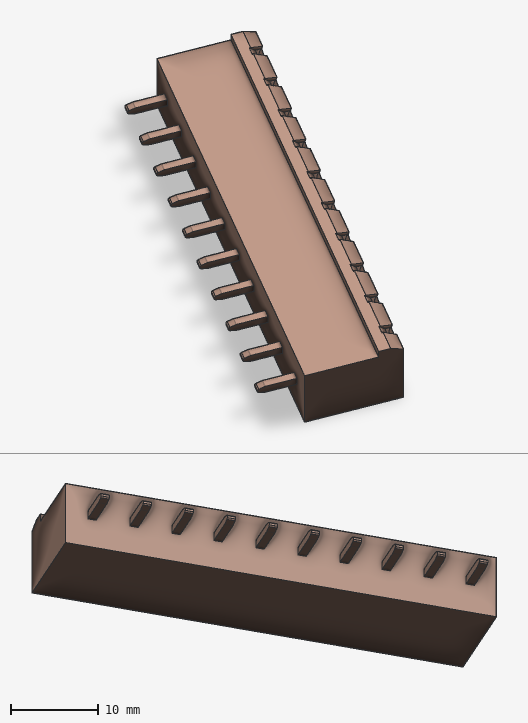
import cadquery as cq
import math

length = 52.1
depth = 12.0
height = 8.8
step_height = 0.95
ledge_depth = 3.0
bevel_depth = 1.55
bevel_drop = 0.6

pin_count = 10
end_margin = 3.2
pitch = (length - 2 * end_margin) / (pin_count - 1)
pin_size = 1.0
pin_length = 4.8
pin_height = 4.15
tip_length = 0.95
tip_taper = 0.2
tip_bevel = 0.15

notch_top_width = 1.0
notch_back_width = 1.55
notch_depth = 1.7
floor_slope = 56.0
shelf_start = 0.8

lead_in_depth = 0.6
lead_in_slope = 23.0
lead_in_radius = 3.1

shelf_height = height - (notch_depth - shelf_start) * math.tan(math.radians(floor_slope))
pin_centres = [-length / 2 + end_margin + i * pitch for i in range(pin_count)]


def make_housing():
    """Stepped side profile extruded along the full length."""
    main_top = height - step_height
    profile = [
        (0, 0),
        (depth, 0),
        (depth, height - bevel_drop),
        (depth - bevel_depth, height),
        (depth - ledge_depth, height),
        (depth - ledge_depth, main_top),
        (0, main_top),
    ]
    return cq.Workplane("YZ").polyline(profile).close().extrude(length / 2, both=True)


def make_pin(x):
    """Square pin whose upper and lower faces taper toward the tip."""
    half = pin_size / 2
    tip_half = half - tip_taper
    end_half = tip_half - tip_bevel
    taper_start = tip_length - pin_length
    taper_end = tip_bevel - pin_length
    profile = [
        (0, half),
        (taper_start, half),
        (taper_end, tip_half),
        (-pin_length, end_half),
        (-pin_length, -end_half),
        (taper_end, -tip_half),
        (taper_start, -half),
        (0, -half),
    ]
    pin = cq.Workplane("YZ").polyline(profile).close().extrude(half, both=True)
    return pin.translate((x, 0, pin_height))


def make_notch():
    """Cutter: undercut side walls, a steep floor, a level shelf and a rounded lead-in."""
    half_top = notch_top_width / 2
    side_lean = (notch_back_width - notch_top_width) / 2 / bevel_drop
    half_bottom = half_top + side_lean * height
    section = [
        (-half_top, height),
        (half_top, height),
        (half_bottom, 0),
        (-half_bottom, 0),
    ]
    dovetail = cq.Workplane("XZ").polyline(section).close().extrude(-depth)

    floor_profile = [
        (depth - notch_depth, height),
        (depth - shelf_start, shelf_height),
        (depth, shelf_height),
        (depth, height),
    ]
    above_floor = cq.Workplane("YZ").polyline(floor_profile).close().extrude(half_bottom, both=True)

    lead_in = (
        cq.Workplane("XZ")
        .circle(lead_in_radius)
        .extrude(-2 * lead_in_depth)
        .translate((0, 0, lead_in_radius))
        .rotate((0, 0, 0), (1, 0, 0), -lead_in_slope)
        .translate((0, depth - lead_in_depth, shelf_height))
    )
    return dovetail.intersect(above_floor.union(lead_in))


notch = make_notch()
result = make_housing()
for centre in pin_centres:
    result = result.union(make_pin(centre))
    result = result.cut(notch.translate((centre, 0, 0)))